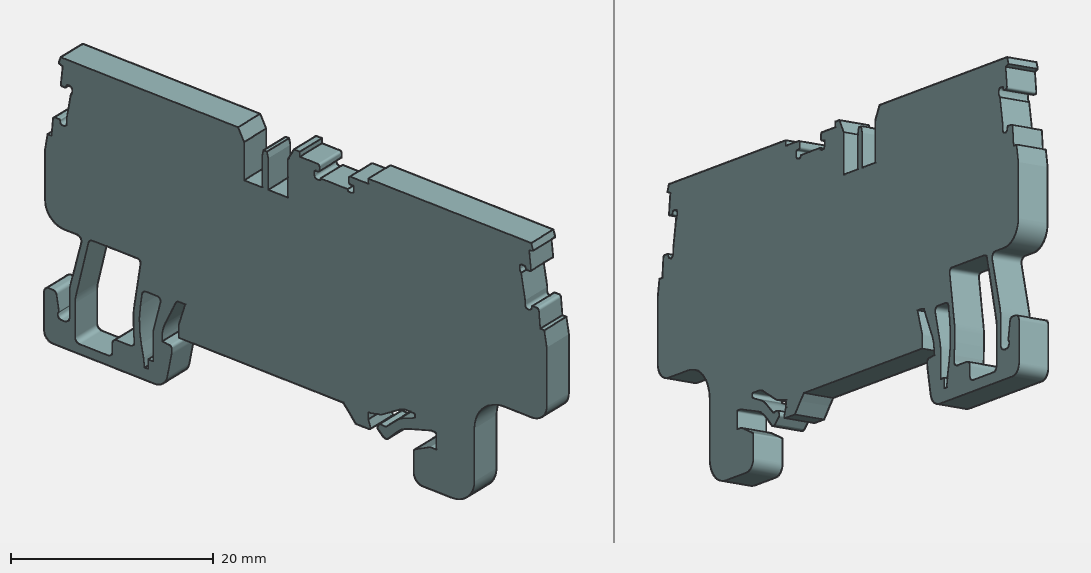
import cadquery as cq
import math


SHARP = 0
TINY_RADIUS = 0.1
SMALL_RADIUS = 0.2
TONGUE_TIP_RADIUS = 0.25
EDGE_RADIUS = 0.3

LENGTH = 63.7
THICKNESS = 3.5
TOP_Z = 32.8

BODY_LEFT = 0.1
BODY_RIGHT = LENGTH
LEFT_SHOULDER_Z = 13.45
RIGHT_SHOULDER_Z = 13.05
LEFT_SHOULDER_RADIUS = 2.5
RIGHT_SHOULDER_RADIUS = 1.9
RAIL_SEAT_Z = 6.3
RAIL_SEAT_LEFT = 17.1
RAIL_SEAT_RIGHT = 37.9

SLOPE_START_Z = 21.65
STEP_Z = 23.5
LOWER_LATCH_Z = 25.75
UPPER_LATCH_Z = 29.55
TOP_TAB_Z = 32.05
LATCH_GROOVE_DEPTH = 0.6
LATCH_GROOVE_RADIUS = 0.4
UPPER_GROOVE_RISE = 0.4

CHANNEL_LEFT = 25.35
CHANNEL_RIGHT = 30.9
CHANNEL_FLOOR_Z = 27.1
CHANNEL_CHAMFER_X = 0.75
CHANNEL_CHAMFER_Z = 1.4
RIB_CENTER_X = 28.0
RIB_HALF_WIDTH = 0.4
RIB_TIP_HALF_WIDTH = 0.22
RIB_TOP_Z = 31.35
RIB_TAPER_HEIGHT = 0.7

MARKER_CENTER_X = 36.75
MARKER_HALF_LENGTH = 4.3
MARKER_STEP_DEPTH = 0.6
MARKER_NOSE_HALF = 1.85
MARKER_NOSE_HEIGHT = 0.9
MARKER_NOSE_RADIUS = 0.25
MARKER_UNDERCUT_HALF = 2.5
MARKER_FLOOR_DEPTH = 2.1
MARKER_RELIEF_DEPTH = 0.25
MARKER_RELIEF_LENGTH = 0.75
MARKER_RELIEF_RADIUS = 0.3

HOOK_RIGHT = 54.5
HOOK_LEFT = 46.8
HOOK_BOTTOM_Z = 0.4
HOOK_NECK_RADIUS = 3.8
HOOK_HEEL_RADIUS = 2.85
HOOK_TOE_RADIUS = 1.2
HOOK_LIP_Z = 4.15
HOOK_MOUTH_RIGHT = 49.7
HOOK_MOUTH_FLOOR_Z = 5.15
HOOK_MOUTH_TOP_Z = 7.1

TONGUE_SLOT_TOP_Z = 8.3
TONGUE_UNDERSIDE_RADIUS = 3.8
TONGUE_UPPER_RADIUS = 3.2
TONGUE_SLOT_RADIUS = 1.3
STOP_BOTTOM_Z = 4.45
STOP_LEFT = 39.5
STOP_RIGHT = 41.1

FOOT_LEFT = 0.0
FOOT_TOE_RADIUS = 1.15
FOOT_HEEL_RADIUS = 1.65
FOOT_BOTTOM_Z = 0.0
LEVER_TOP_Z = 6.1
LEVER_NOTCH_FLOOR_Z = 3.05
LEVER_NOTCH_RADIUS = 0.7
OUTER_LEG_LEFT = 3.25
OUTER_LEG_WIDTH = 0.7
OUTER_LEG_BEND_Z = 7.1
OUTER_LEG_TOP_LEFT = 4.9
OUTER_LEG_TOP_WIDTH = 0.8
LEG_BEND_RADIUS = 3.8
CLAW_INNER_X = 15.0
CLAW_TIP_X = 16.2
CLAW_TIP_Z = 5.15
CLAW_SLOT_TOP_Z = 10.4

WIDE_WINDOW_FLOOR_Z = 1.15
WIDE_WINDOW_LEDGE_X = 8.65
WIDE_WINDOW_LEDGE_Z = 3.25
WIDE_WINDOW_RIGHT = 11.35
WIDE_WINDOW_TOP_RIGHT = 12.3
MIDDLE_LEG_BEND_Z = 7.3
NARROW_WINDOW_TOP_Z = 10.05
NARROW_WINDOW_FLOOR_Z = 2.5
NARROW_WINDOW_RIGHT = 13.8
NARROW_WINDOW_TOP_LEFT = 12.5
NARROW_WINDOW_TOP_RIGHT = 14.9
NARROW_WINDOW_BOW_X = 11.9
NARROW_WINDOW_BOW_Z = 6.05
NARROW_WINDOW_BOW_RADIUS = 12.75
RELIEF_LEFT = 12.75
RELIEF_RIGHT = 13.2
RELIEF_FLOOR_Z = 1.4
WINDOW_RADIUS = 0.6


def unit_vector(start, end):
    """Direction from start to end, with length one."""
    dx = end[0] - start[0]
    dz = end[1] - start[1]
    span = math.hypot(dx, dz)
    return dx / span, dz / span


def round_corner(before, corner, after):
    """Start, middle and end of the arc that rounds one corner."""
    x, z, radius = corner
    ux, uz = unit_vector(corner, before)
    vx, vz = unit_vector(corner, after)
    half_angle = math.acos(ux * vx + uz * vz) / 2
    tangent_length = radius / math.tan(half_angle)
    middle_distance = radius / math.sin(half_angle) - radius
    bx, bz = unit_vector((0, 0), (ux + vx, uz + vz))
    start = (x + ux * tangent_length, z + uz * tangent_length)
    middle = (x + bx * middle_distance, z + bz * middle_distance)
    end = (x + vx * tangent_length, z + vz * tangent_length)
    return start, middle, end


def plate(corners):
    """Closed outline with rounded corners, extruded through the full thickness.

    The first corner must be sharp, because the outline starts there.
    """
    outline = cq.Workplane("XZ").moveTo(*corners[0][:2])
    for i in range(1, len(corners)):
        before = corners[i - 1]
        corner = corners[i]
        after = corners[(i + 1) % len(corners)]
        if corner[2] == SHARP:
            outline = outline.lineTo(*corner[:2])
        else:
            start, middle, end = round_corner(before, corner, after)
            outline = outline.lineTo(*start).threePointArc(middle, end)
    return outline.close().extrude(-THICKNESS)


def mirrored(corners, center_x):
    """The same corners reflected about a vertical line, in reverse order."""
    return [(2 * center_x - x, z, radius) for x, z, radius in reversed(corners)]


def left_end():
    """Stepped left end with two latch grooves, from bottom to top."""
    groove_floor = LOWER_LATCH_Z - LATCH_GROOVE_DEPTH
    groove_roof = UPPER_LATCH_Z + UPPER_GROOVE_RISE
    insets = [
        (0.0, SLOPE_START_Z, SHARP),
        (0.3, STEP_Z, SHARP),
        (0.8, STEP_Z, SHARP),
        (1.0, LOWER_LATCH_Z, EDGE_RADIUS),
        (1.9, LOWER_LATCH_Z, TINY_RADIUS),
        (1.9, groove_floor, LATCH_GROOVE_RADIUS),
        (2.75, groove_floor, LATCH_GROOVE_RADIUS),
        (2.75, LOWER_LATCH_Z + 0.3, SHARP),
        (3.25, UPPER_LATCH_Z - 0.6, SHARP),
        (3.45, UPPER_LATCH_Z - 0.25, TINY_RADIUS),
        (3.45, groove_roof, EDGE_RADIUS),
        (2.75, groove_roof, SMALL_RADIUS),
        (2.6, UPPER_LATCH_Z, TINY_RADIUS),
        (2.0, UPPER_LATCH_Z, SMALL_RADIUS),
        (2.2, TOP_TAB_Z - 0.2, SHARP),
        (1.7, TOP_TAB_Z, SHARP),
        (2.0, TOP_Z, SHARP),
    ]
    return [(BODY_LEFT + inset, z, radius) for inset, z, radius in insets]


def right_end():
    """Mirror image of the left end, from top to bottom."""
    return mirrored(left_end(), (BODY_LEFT + BODY_RIGHT) / 2)


def top_channel():
    """Chamfered channel with a tapered rib, from left to right."""
    chamfer_z = TOP_Z - CHANNEL_CHAMFER_Z
    rib_left = [
        (RIB_CENTER_X - RIB_HALF_WIDTH, CHANNEL_FLOOR_Z, SHARP),
        (RIB_CENTER_X - RIB_HALF_WIDTH, RIB_TOP_Z - RIB_TAPER_HEIGHT, SHARP),
        (RIB_CENTER_X - RIB_TIP_HALF_WIDTH, RIB_TOP_Z, SHARP),
    ]
    return [
        (CHANNEL_LEFT - CHANNEL_CHAMFER_X, TOP_Z, SHARP),
        (CHANNEL_LEFT, chamfer_z, SHARP),
        (CHANNEL_LEFT, CHANNEL_FLOOR_Z, SHARP),
        *rib_left,
        *mirrored(rib_left, RIB_CENTER_X),
        (CHANNEL_RIGHT, CHANNEL_FLOOR_Z, SHARP),
        (CHANNEL_RIGHT, chamfer_z, SHARP),
        (CHANNEL_RIGHT + CHANNEL_CHAMFER_X, TOP_Z, SHARP),
    ]


def marker_recess():
    """Stepped recess with a nose and a sunken relief at each undercut side, from left to right."""
    step_z = TOP_Z - MARKER_STEP_DEPTH
    nose_z = step_z - MARKER_NOSE_HEIGHT
    floor_z = TOP_Z - MARKER_FLOOR_DEPTH
    relief_z = floor_z - MARKER_RELIEF_DEPTH
    undercut_x = MARKER_CENTER_X - MARKER_UNDERCUT_HALF
    left_half = [
        (MARKER_CENTER_X - MARKER_HALF_LENGTH, TOP_Z, SHARP),
        (MARKER_CENTER_X - MARKER_HALF_LENGTH, step_z, SHARP),
        (MARKER_CENTER_X - MARKER_NOSE_HALF, step_z, MARKER_NOSE_RADIUS),
        (MARKER_CENTER_X - MARKER_NOSE_HALF, nose_z, MARKER_NOSE_RADIUS),
        (undercut_x, nose_z, TINY_RADIUS),
        (undercut_x, relief_z, MARKER_RELIEF_RADIUS),
        (undercut_x + MARKER_RELIEF_LENGTH, relief_z, SMALL_RADIUS),
        (undercut_x + MARKER_RELIEF_LENGTH, floor_z, SHARP),
    ]
    return left_half + mirrored(left_half, MARKER_CENTER_X)


def right_hook():
    """Right shoulder and the fixed hook, ending at the top of the hook mouth."""
    return [
        (BODY_RIGHT, RIGHT_SHOULDER_Z, RIGHT_SHOULDER_RADIUS),
        (HOOK_RIGHT, RIGHT_SHOULDER_Z, HOOK_NECK_RADIUS),
        (HOOK_RIGHT, HOOK_BOTTOM_Z, HOOK_HEEL_RADIUS),
        (HOOK_LEFT, HOOK_BOTTOM_Z, HOOK_TOE_RADIUS),
        (HOOK_LEFT, HOOK_LIP_Z, EDGE_RADIUS),
        (HOOK_MOUTH_RIGHT - 0.75, HOOK_MOUTH_FLOOR_Z, EDGE_RADIUS),
        (HOOK_MOUTH_RIGHT, HOOK_MOUTH_FLOOR_Z, SHARP),
        (HOOK_MOUTH_RIGHT, HOOK_MOUTH_TOP_Z, SMALL_RADIUS),
    ]


def spring_tongue():
    """Curved tongue below its slot, then the stop block, ending at the rail seat."""
    underside_and_tip = [
        (49.05, HOOK_MOUTH_TOP_Z, SHARP),
        (45.3, 6.0, TONGUE_UNDERSIDE_RADIUS),
        (43.45, 4.1, TONGUE_TIP_RADIUS),
        (43.0, 4.2, TONGUE_TIP_RADIUS),
        (42.2, 5.0, TONGUE_TIP_RADIUS),
        (42.5, 5.55, SMALL_RADIUS),
        (43.3, 5.5, SHARP),
    ]
    slot = [
        (45.0, 7.0, TONGUE_UPPER_RADIUS),
        (46.95, 7.8, SMALL_RADIUS),
        (47.1, TONGUE_SLOT_TOP_Z, SMALL_RADIUS),
        (45.5, TONGUE_SLOT_TOP_Z, TONGUE_SLOT_RADIUS),
        (42.7, 6.6, 0.65),
    ]
    stop_block = [
        (STOP_RIGHT, RAIL_SEAT_Z, SHARP),
        (STOP_RIGHT, RAIL_SEAT_Z - 0.75, SHARP),
        (STOP_RIGHT + 0.4, STOP_BOTTOM_Z, SMALL_RADIUS),
        (STOP_LEFT, STOP_BOTTOM_Z, SHARP),
        (STOP_LEFT - 0.95, STOP_BOTTOM_Z + 1.15, EDGE_RADIUS),
        (RAIL_SEAT_RIGHT, RAIL_SEAT_Z, SHARP),
    ]
    return underside_and_tip + slot + stop_block


def snap_foot():
    """Claw, foot and release lever, from the rail seat to the left shoulder."""
    claw = [
        (RAIL_SEAT_LEFT, RAIL_SEAT_Z, SHARP),
        (RAIL_SEAT_LEFT, RAIL_SEAT_Z + 1.45, 0.65),
        (RAIL_SEAT_LEFT + 0.8, CLAW_SLOT_TOP_Z, SHARP),
        (RAIL_SEAT_LEFT - 0.25, CLAW_SLOT_TOP_Z, 0.45),
        (CLAW_INNER_X, RAIL_SEAT_Z + 0.2, LEG_BEND_RADIUS),
        (CLAW_INNER_X, CLAW_TIP_Z, SHARP),
        (CLAW_TIP_X, CLAW_TIP_Z - 0.1, EDGE_RADIUS),
        (CLAW_TIP_X, CLAW_TIP_Z - 0.95, 1.3),
        (CLAW_TIP_X - 0.8, FOOT_BOTTOM_Z, FOOT_HEEL_RADIUS),
    ]
    lever = [
        (FOOT_LEFT, FOOT_BOTTOM_Z, FOOT_TOE_RADIUS),
        (FOOT_LEFT, LEVER_TOP_Z, 0.65),
        (1.5, LEVER_TOP_Z, 0.45),
        (1.9, LEVER_NOTCH_FLOOR_Z + 0.8, TINY_RADIUS),
        (1.7, LEVER_NOTCH_FLOOR_Z + 0.6, 0.05),
        (1.85, LEVER_NOTCH_FLOOR_Z, 0.45),
        (OUTER_LEG_LEFT, LEVER_NOTCH_FLOOR_Z, LEVER_NOTCH_RADIUS),
    ]
    shoulder = [
        (OUTER_LEG_LEFT, OUTER_LEG_BEND_Z, LEG_BEND_RADIUS),
        (OUTER_LEG_TOP_LEFT, LEFT_SHOULDER_Z, WINDOW_RADIUS),
        (BODY_LEFT, LEFT_SHOULDER_Z, LEFT_SHOULDER_RADIUS),
    ]
    return claw + lever + shoulder


def wide_window():
    """Stepped window between the outer and the middle leg."""
    left = OUTER_LEG_LEFT + OUTER_LEG_WIDTH
    return plate([
        (WIDE_WINDOW_RIGHT, MIDDLE_LEG_BEND_Z - 1.6, SHARP),
        (WIDE_WINDOW_RIGHT, MIDDLE_LEG_BEND_Z, LEG_BEND_RADIUS),
        (WIDE_WINDOW_TOP_RIGHT, LEFT_SHOULDER_Z, 0.4),
        (OUTER_LEG_TOP_LEFT + OUTER_LEG_TOP_WIDTH, LEFT_SHOULDER_Z, WINDOW_RADIUS),
        (left, OUTER_LEG_BEND_Z - 1.0, LEG_BEND_RADIUS),
        (left, WIDE_WINDOW_FLOOR_Z, WINDOW_RADIUS),
        (WIDE_WINDOW_LEDGE_X, WIDE_WINDOW_FLOOR_Z, WINDOW_RADIUS),
        (WIDE_WINDOW_LEDGE_X, WIDE_WINDOW_LEDGE_Z, WINDOW_RADIUS),
        (WIDE_WINDOW_RIGHT + 0.2, WIDE_WINDOW_LEDGE_Z, WINDOW_RADIUS),
        (WIDE_WINDOW_RIGHT + 0.05, WIDE_WINDOW_LEDGE_Z + 1.15, SHARP),
    ])


def narrow_window():
    """Bowed window between the middle and the inner leg, with a relief slit at its foot."""
    return plate([
        (NARROW_WINDOW_RIGHT, NARROW_WINDOW_FLOOR_Z, SHARP),
        (NARROW_WINDOW_RIGHT, NARROW_WINDOW_BOW_Z - 0.2, LEG_BEND_RADIUS),
        (NARROW_WINDOW_TOP_RIGHT, NARROW_WINDOW_TOP_Z, 0.45),
        (NARROW_WINDOW_TOP_LEFT, NARROW_WINDOW_TOP_Z, WINDOW_RADIUS),
        (NARROW_WINDOW_BOW_X, NARROW_WINDOW_BOW_Z, NARROW_WINDOW_BOW_RADIUS),
        (RELIEF_LEFT - 0.1, NARROW_WINDOW_FLOOR_Z, SHARP),
        (RELIEF_LEFT, RELIEF_FLOOR_Z, SHARP),
        (RELIEF_RIGHT, RELIEF_FLOOR_Z, SHARP),
        (RELIEF_RIGHT, NARROW_WINDOW_FLOOR_Z, SHARP),
    ])


outline = left_end() + top_channel() + marker_recess() + right_end()
outline += right_hook() + spring_tongue() + snap_foot()

result = plate(outline).cut(wide_window()).cut(narrow_window())